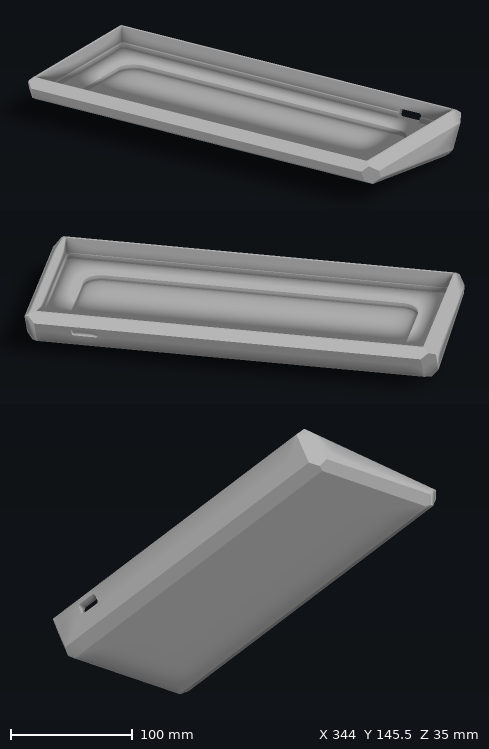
import cadquery as cq

length = 344.0
half_length = length / 2

side_profile = [
    (66.0, 0),
    (72.75, -7.2),
    (60.0, -30.3),
    (48.0, -35.0),
    (-60.0, -22.0),
    (-69.0, -16.0),
    (-72.75, -7.2),
    (-67.0, 0),
]

end_flat = [(60.5, -8.0), (49.5, -28.0), (-59.5, -14.5), (-61.5, -8.0)]
bevel_depth = 17.2

pocket_length = 324.0
pocket_back = 64.0
pocket_front = -65.0
pocket_depth = 13.8
ledge_width = 2.0
front_ledge_width = 1.0
floor_depth = 18.2
floor_corner_radius = 4.8

recess_length = 280.5
recess_width = 80.0
recess_depth = 4.5
recess_radius = 15.8

slot_left = 109.7
slot_right = 131.0
slot_height = 7.5
slot_corner_radius = 2.0

screw_diameter = 2.0
screw_inset = 2.5
screw_depth = 3.5


def centred_block(size_x, front, back, top, bottom):
    """Block centred on X between the given Y and Z limits."""
    block = cq.Workplane("XY").box(size_x, back - front, top - bottom)
    return block.translate((0, (front + back) / 2, (top + bottom) / 2))


def bevelled_end():
    """Frustum growing at 45 degrees from the flat of the -X end."""
    flat = cq.Workplane("YZ", origin=(-half_length, 0, 0)).polyline(end_flat).close()
    wide = cq.Workplane("YZ", origin=(bevel_depth - half_length, 0, 0)).polyline(end_flat).close()
    wide = wide.offset2D(bevel_depth, "intersection")
    return cq.Workplane(cq.Solid.makeLoft([flat.wires().val(), wide.wires().val()], True))


middle_half = half_length - bevel_depth
middle = cq.Workplane("YZ").polyline(side_profile).close().extrude(middle_half, both=True)
full_bar = cq.Workplane("YZ").polyline(side_profile).close().extrude(half_length, both=True)
left_end = full_bar.intersect(bevelled_end())
body = middle.union(left_end).union(left_end.mirror("YZ"))

pocket = centred_block(pocket_length, pocket_front, pocket_back, 0, -pocket_depth)
floor_length = pocket_length - 2 * ledge_width
floor_front = pocket_front + front_ledge_width
floor_back = pocket_back - ledge_width
floor_step = centred_block(floor_length, floor_front, floor_back, 0, -floor_depth)
floor_step = floor_step.edges("|Z").fillet(floor_corner_radius)
recess = centred_block(recess_length, -recess_width / 2, recess_width / 2, 0, -floor_depth - recess_depth)
recess = recess.edges("|Z").fillet(recess_radius)
body = body.cut(pocket).cut(floor_step).cut(recess)

slot_length = slot_right - slot_left
slot_centre_x = (slot_left + slot_right) / 2
slot_centre_z = slot_height / 2 - floor_depth
slot_start = floor_back - ledge_width
slot_plane = cq.Workplane("XZ", origin=(slot_centre_x, slot_start, slot_centre_z))
slot = slot_plane.rect(slot_length, slot_height).extrude(-half_length)
slot = slot.edges("|Y").fillet(slot_corner_radius)
body = body.cut(slot)

for x in (-1, 1):
    for y in (floor_front + screw_inset - ledge_width, pocket_back - screw_inset):
        hole = cq.Workplane("XY", origin=(x * (pocket_length / 2 - screw_inset), y, -pocket_depth))
        body = body.cut(hole.circle(screw_diameter / 2).extrude(-screw_depth))

result = body